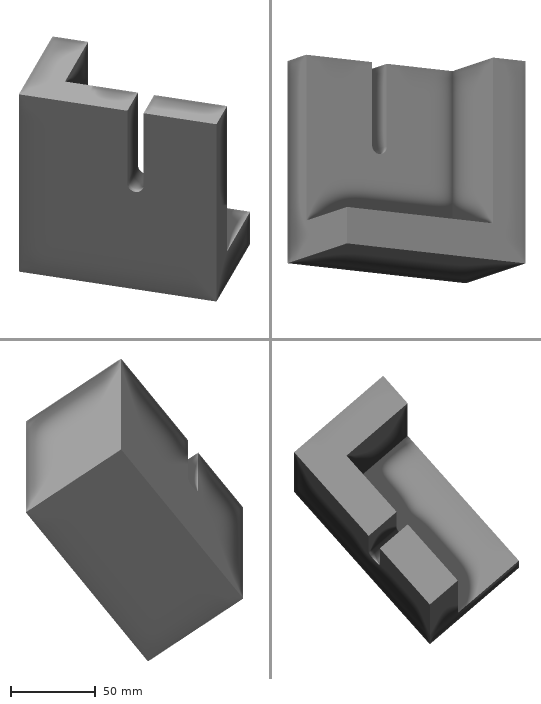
import cadquery as cq

wall = 22.0
inner_length = 100.0
inner_depth = 48.0
inner_height = 100.0
slot_width = 10.0
slot_center_depth = 50.0

length = inner_length + wall
depth = inner_depth + wall
height = inner_height + wall
slot_radius = slot_width / 2
slot_x = wall + inner_length / 2
slot_center_z = height - slot_center_depth


def corner_block():
    """Base with two upright walls, on the -X and -Y sides; the other sides are open."""
    block = cq.Workplane("XY").box(length, depth, height, centered=False)
    clearance = (
        cq.Workplane("XY")
        .box(inner_length, inner_depth, inner_height, centered=False)
        .translate((wall, wall, wall))
    )
    return block.cut(clearance)


def slot_cutter():
    """Open-topped slot with a round lower end, running through the -Y wall."""
    return (
        cq.Workplane("XZ")
        .moveTo(slot_x - slot_radius, height)
        .lineTo(slot_x - slot_radius, slot_center_z)
        .threePointArc(
            (slot_x, slot_center_z - slot_radius),
            (slot_x + slot_radius, slot_center_z),
        )
        .lineTo(slot_x + slot_radius, height)
        .close()
        .extrude(-wall)
    )


result = corner_block().cut(slot_cutter())